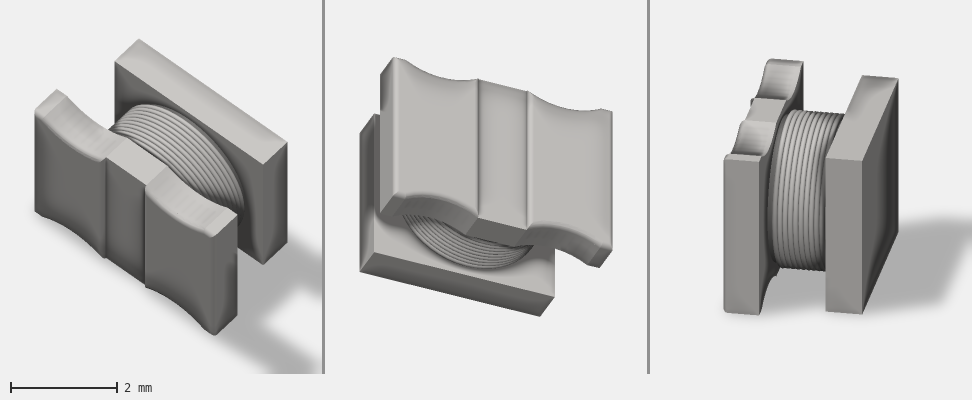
import cadquery as cq

flange_width = 4.5
height = 3.2
depth = 2.6

end_thickness = 0.7
rear_width = 3.7
post_diameter = 2.8

pad_thickness = 0.1
pad_rounding = pad_thickness
pad_inner_x = 0.5
scoop_outer_x = 2.0
scoop_depth = 0.2

turn_count = 10
winding_length = 1.0

half_height = height / 2
half_width = flange_width / 2
rear_plate_y = depth - end_thickness
scoop_middle_x = (pad_inner_x + scoop_outer_x) / 2
scoop_bottom_z = half_height - scoop_depth
post_radius = post_diameter / 2
turn_pitch = winding_length / turn_count
wire_radius = turn_pitch / 2
winding_start_y = (end_thickness + rear_plate_y - winding_length) / 2


def extrude_along_y(outline, start_y, end_y):
    """Extrude an outline drawn on the XZ plane between two Y positions."""
    return outline.extrude(start_y - end_y).translate((0, start_y, 0))


def make_scoop(x_side, z_side):
    """Circular segment cut into the flange edge at z_side, on the x_side half."""
    outline = (
        cq.Workplane("XZ")
        .moveTo(x_side * pad_inner_x, z_side * half_height)
        .threePointArc(
            (x_side * scoop_middle_x, z_side * scoop_bottom_z),
            (x_side * scoop_outer_x, z_side * half_height),
        )
        .close()
    )
    return extrude_along_y(outline, 0, end_thickness)


def make_drum_core():
    flange_outline = cq.Workplane("XZ").rect(flange_width, height)
    flange = extrude_along_y(flange_outline, pad_thickness, end_thickness)
    for x_side in (-1, 1):
        for z_side in (-1, 1):
            flange = flange.cut(make_scoop(x_side, z_side))
    post = extrude_along_y(cq.Workplane("XZ").circle(post_radius), end_thickness, rear_plate_y)
    rear_plate = extrude_along_y(cq.Workplane("XZ").rect(rear_width, height), rear_plate_y, depth)
    return flange.union(post).union(rear_plate)


def make_winding():
    """Ring on the post whose outside carries a rounded crest for each turn."""
    crest_base_radius = post_radius + wire_radius
    profile = (
        cq.Workplane("XY")
        .moveTo(post_radius, winding_start_y)
        .lineTo(crest_base_radius, winding_start_y)
    )
    for turn in range(turn_count):
        turn_start_y = winding_start_y + turn * turn_pitch
        profile = profile.threePointArc(
            (crest_base_radius + wire_radius, turn_start_y + wire_radius),
            (crest_base_radius, turn_start_y + turn_pitch),
        )
    profile = profile.lineTo(post_radius, winding_start_y + winding_length).close()
    return profile.revolve(360, (0, 0, 0), (0, 1, 0))


def make_pad(side):
    """Pad on the flange front; side is -1 for the -X pad and +1 for the +X pad."""
    pad_width = half_width - pad_inner_x
    pad_middle_x = side * (half_width + pad_inner_x) / 2
    outline = cq.Workplane("XZ").center(pad_middle_x, 0).rect(pad_width, height)
    block = extrude_along_y(outline, 0, end_thickness)
    for z_side in (-1, 1):
        block = block.cut(make_scoop(side, z_side))
    block = block.faces("<Y").edges().fillet(pad_rounding)
    slab = extrude_along_y(cq.Workplane("XZ").rect(flange_width, height), 0, pad_thickness)
    return block.intersect(slab)


drum_core = make_drum_core()
winding = make_winding()
pads = [make_pad(side) for side in (-1, 1)]

result = cq.Compound.makeCompound(
    [drum_core.val(), winding.val(), *[pad.val() for pad in pads]]
)